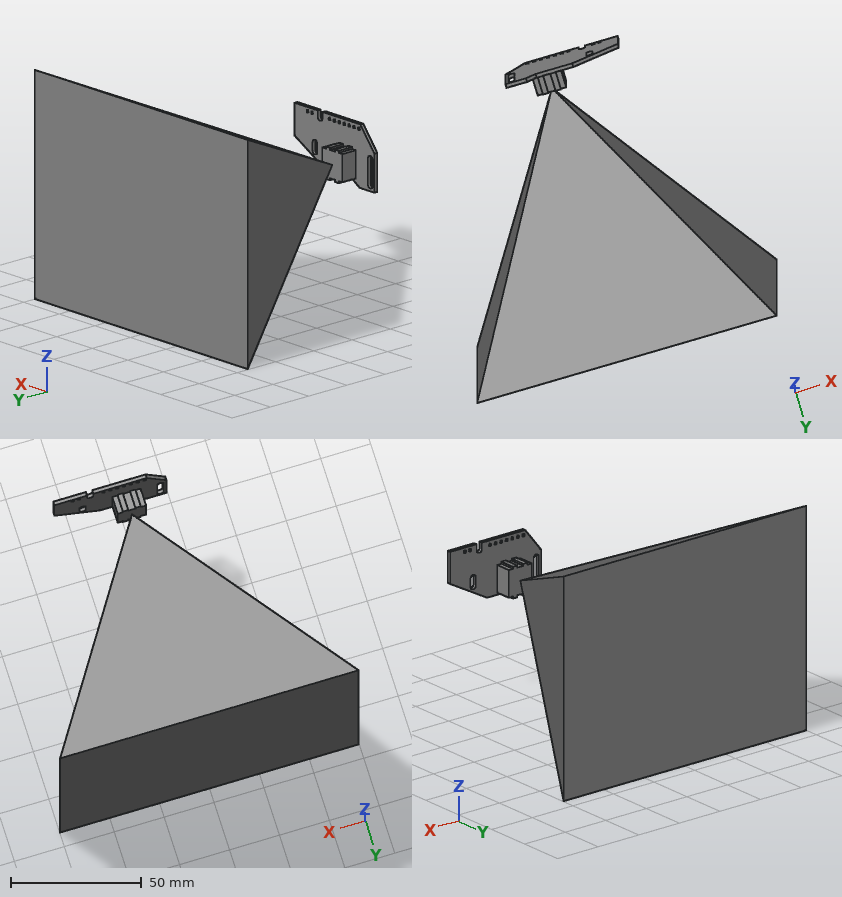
import cadquery as cq


view_width = 119.7
view_height = 92.2
view_depth = 100.0

sensor_size = 11.4
sensor_depth = 7.1
rib_width = 2.2
rib_height = 0.8
rib_offset = 2.5

board_thickness = 1.5
board_left = -16.0
board_right = 28.8
board_top = 16.6
board_bottom = -9.0
left_corner_x = -8.1
left_corner_z = 6.7
right_corner_x = 10.7
right_corner_z = 3.5
step_z = -6.6
step_start_x = -7.8
step_end_x = -4.0

slot_width = 2.5
long_slot_x = -13.6
long_slot_bottom = -7.8
long_slot_top = 5.3
short_slot_x = 17.5
short_slot_bottom = -1.4
short_slot_top = 4.4
notch_x = 14.5
notch_bottom = 12.8
pin_hole_diameter = 1.1
pin_row_count = 7
pin_row_start_x = -7.3
pin_row_pitch = 2.8
pin_row_z = 14.7
pin_pair_count = 2
pin_pair_start_x = 19.0
pin_pair_pitch = 2.5
pin_pair_z = 15.0

board_front = -sensor_depth


def plane_at(y):
    """Workplane whose local axes are +X and +Z and whose normal is -Y."""
    return cq.Workplane("XZ", origin=(0, y, 0))


def make_slot(x, bottom, top):
    """Cutter for an upright round-ended slot through the board."""
    return (
        plane_at(board_front)
        .center(x, (bottom + top) / 2)
        .slot2D(top - bottom, slot_width, 90)
        .extrude(board_thickness)
    )


def make_pin_holes(count, start_x, pitch, z):
    """Cutter for a straight row of evenly spaced pin holes."""
    centres = [(start_x + i * pitch, z) for i in range(count)]
    return plane_at(board_front).pushPoints(centres).circle(pin_hole_diameter / 2).extrude(board_thickness)


def make_board():
    outline = [
        (board_left, board_bottom),
        (step_start_x, board_bottom),
        (step_end_x, step_z),
        (right_corner_x, step_z),
        (board_right, right_corner_z),
        (board_right, board_top),
        (left_corner_x, board_top),
        (board_left, left_corner_z),
    ]
    board = plane_at(board_front).polyline(outline).close().extrude(board_thickness)
    board = board.cut(make_slot(long_slot_x, long_slot_bottom, long_slot_top))
    board = board.cut(make_slot(short_slot_x, short_slot_bottom, short_slot_top))

    board = board.cut(make_slot(notch_x, notch_bottom, board_top + slot_width))

    board = board.cut(make_pin_holes(pin_row_count, pin_row_start_x, pin_row_pitch, pin_row_z))
    return board.cut(make_pin_holes(pin_pair_count, pin_pair_start_x, pin_pair_pitch, pin_pair_z))


def make_sensor():
    """Square block with two ribs that stand out above and below it."""
    block = plane_at(0).rect(sensor_size, sensor_size).extrude(sensor_depth)
    ribs = (
        plane_at(0)
        .pushPoints([(-rib_offset, 0), (rib_offset, 0)])
        .rect(rib_width, sensor_size + 2 * rib_height)
        .extrude(sensor_depth)
    )
    return block.union(ribs)


def make_camera():
    """Board and sensor block in one piece."""
    return make_board().union(make_sensor())


def make_field_of_view():
    """Rectangular pyramid with its apex on the sensor face."""
    half_width = view_width / 2
    half_height = view_height / 2
    apex = cq.Vector(0, 0, 0)
    corners = [
        cq.Vector(-half_width, view_depth, -half_height),
        cq.Vector(half_width, view_depth, -half_height),
        cq.Vector(half_width, view_depth, half_height),
        cq.Vector(-half_width, view_depth, half_height),
    ]
    outlines = [corners]
    for i, corner in enumerate(corners):
        outlines.append([corners[i - 1], corner, apex])
    faces = [cq.Face.makeFromWires(cq.Wire.makePolygon(points, close=True)) for points in outlines]
    return cq.Workplane(cq.Solid.makeSolid(cq.Shell.makeShell(faces)))


camera = make_camera()
field_of_view = make_field_of_view()

result = cq.Compound.makeCompound([camera.solids().val(), field_of_view.val()])